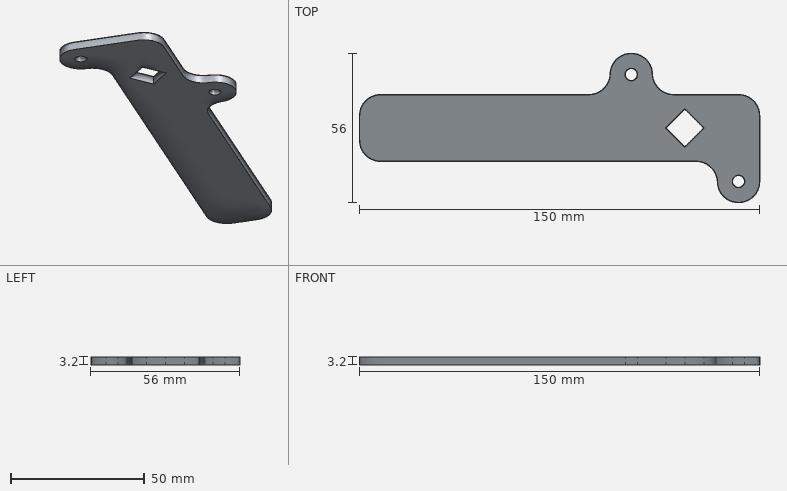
import cadquery as cq
import math

length = 150.0
overall_width = 56.0
thickness = 3.2
arm_width = 25.0
corner_radius = 8.0
pivot_to_right_end = 28.0
square_side = 10.0
pin_hole_diameter = 4.5

right = pivot_to_right_end
left = right - length
edge = arm_width / 2
lobe_tip = overall_width / 2
lobe_y = lobe_tip - corner_radius
lobe_x = right - corner_radius
lobe_centers = [(-lobe_x, lobe_y), (lobe_x, -lobe_y)]

blend_y = edge + corner_radius
blend_dx = math.sqrt((2 * corner_radius) ** 2 - (blend_y - lobe_y) ** 2)
join_dx = blend_dx / 2
join_y = (blend_y + lobe_y) / 2


def point_on_arc(center_x, center_y, toward_x, toward_y):
    """Point at the shared radius from a centre, in the given direction."""
    scale = corner_radius / math.hypot(toward_x, toward_y)
    return (center_x + toward_x * scale, center_y + toward_y * scale)


def blend_middle(lobe_center_x, side_x, side_y):
    """Middle of the blend on one side of a lobe above or below the arm."""
    center_x = lobe_center_x + side_x * blend_dx
    tangent_x = -side_x * join_dx / corner_radius
    tangent_y = (lobe_y - blend_y) / (2 * corner_radius)
    return point_on_arc(center_x, side_y * blend_y, tangent_x, side_y * (tangent_y - 1))


def corner_middle(corner_x, corner_y):
    """Middle of the round inside an arm corner."""
    side_x = math.copysign(1, corner_x)
    side_y = math.copysign(1, corner_y)
    center_x = corner_x - side_x * corner_radius
    center_y = corner_y - side_y * corner_radius
    return point_on_arc(center_x, center_y, side_x, side_y)


def make_plate():
    lower_start = (lobe_x - blend_dx, -edge)
    lower_join = (lobe_x - join_dx, -join_y)
    lower_tip = (lobe_x, -lobe_tip)
    upper_x = -lobe_x
    return (
        cq.Workplane("XY")
        .moveTo(left + corner_radius, -edge)
        .lineTo(*lower_start)
        .threePointArc(blend_middle(lobe_x, -1, -1), lower_join)
        .threePointArc(lower_tip, (right, -lobe_y))
        .lineTo(right, edge - corner_radius)
        .threePointArc(corner_middle(right, edge), (right - corner_radius, edge))
        .lineTo(upper_x + blend_dx, edge)
        .threePointArc(blend_middle(upper_x, 1, 1), (upper_x + join_dx, join_y))
        .threePointArc((upper_x, lobe_tip), (upper_x - join_dx, join_y))
        .threePointArc(blend_middle(upper_x, -1, 1), (upper_x - blend_dx, edge))
        .lineTo(left + corner_radius, edge)
        .threePointArc(corner_middle(left, edge), (left, edge - corner_radius))
        .lineTo(left, -edge + corner_radius)
        .threePointArc(corner_middle(left, -edge), (left + corner_radius, -edge))
        .close()
        .extrude(thickness)
    )


square_hole = (
    cq.Workplane("XY")
    .rect(square_side, square_side)
    .extrude(thickness)
    .rotate((0, 0, 0), (0, 0, 1), 45)
)

pin_holes = (
    cq.Workplane("XY")
    .pushPoints(lobe_centers)
    .circle(pin_hole_diameter / 2)
    .extrude(thickness)
)

result = make_plate().cut(square_hole).cut(pin_holes)